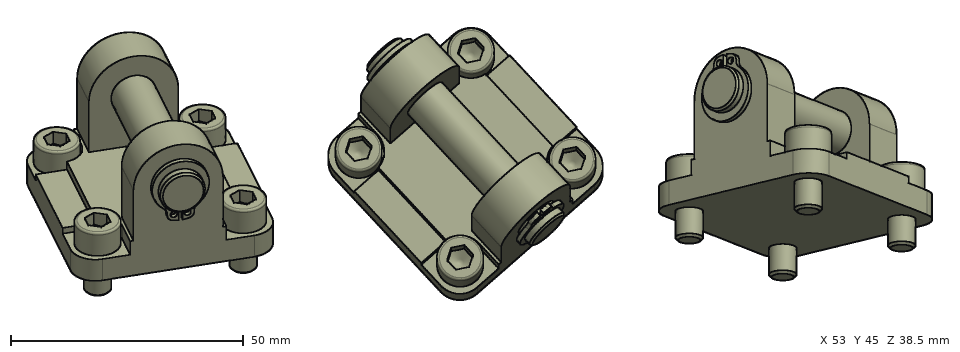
import cadquery as cq
import math

base_side = 45.0
base_top = 9.0
corner_radius = 5.5
ledge_top = 7.0
ledge_width = 7.0

bolt_spacing = 32.5
seat_height = 5.5
seat_radius = 5.5
shank_diameter = 6.0
shank_length = 12.05
shank_chamfer = 0.6
head_diameter = 10.0
head_height = 6.0
head_fillet = 0.55
socket_flats = 5.0
socket_depth = 3.0
socket_tip_angle = 120.0

lug_thickness = 9.5
lug_width = 20.0
pin_height = 22.0

pin_length = 53.0
pin_diameter = 10.0
pin_chamfer = 0.5
groove_diameter = 9.5

clip_thickness = 1.1
clip_clearance = 0.9
clip_radius = 6.35
clip_offset = 0.55
ear_half_width = 3.0
ear_tip_radius = 8.1
ear_corner_fillet = 1.5
ear_root_fillet = 1.95
ear_gap = 0.85
ear_hole_diameter = 1.5
ear_hole_spacing = 3.1
ear_hole_height = 6.4

half_base = base_side / 2
lug_radius = lug_width / 2
half_spacing = bolt_spacing / 2
clip_inner_face = half_base + clip_clearance


def x_cylinder(x_start, length, radius):
    """Cylinder along +X, centred on the pin axis at Y = Z = 0."""
    return cq.Workplane("YZ").workplane(offset=x_start).circle(radius).extrude(length)


def make_base():
    """Rounded square plate with a lowered ledge along each Y edge and a seat at each corner."""
    base = cq.Workplane("XY").rect(base_side, base_side).extrude(base_top)
    base = base.edges("|Z").fillet(corner_radius)

    ledge_center = half_base - ledge_width / 2
    ledges = (
        cq.Workplane("XY").workplane(offset=ledge_top)
        .pushPoints([(0, -ledge_center), (0, ledge_center)])
        .rect(base_side, ledge_width)
        .extrude(base_top - ledge_top)
    )
    base = base.cut(ledges)

    seat_inner = half_spacing - seat_radius
    seat_size = half_base - seat_inner
    for x_sign in (-1, 1):
        for y_sign in (-1, 1):
            seat_center = seat_inner + seat_size / 2
            seat = (
                cq.Workplane("XY").workplane(offset=seat_height)
                .center(x_sign * seat_center, y_sign * seat_center)
                .rect(seat_size, seat_size)
                .extrude(base_top - seat_height)
            )
            inner_corner = cq.NearestToPointSelector((x_sign * seat_inner, y_sign * seat_inner, base_top))
            seat = seat.edges("|Z").edges(inner_corner).fillet(seat_radius)
            base = base.cut(seat)
    return base


def make_lug(x_start):
    """Upright lug with a full-round top, rising from the level of the base underside."""
    return (
        cq.Workplane("YZ").workplane(offset=x_start)
        .moveTo(-lug_radius, 0)
        .lineTo(lug_radius, 0)
        .lineTo(lug_radius, pin_height)
        .threePointArc((0, pin_height + lug_radius), (-lug_radius, pin_height))
        .close()
        .extrude(lug_thickness)
    )


def make_bolt():
    """Socket head cap screw along Z, with the underside of its head at Z = 0."""
    shank = cq.Workplane("XY").circle(shank_diameter / 2).extrude(-shank_length)
    shank = shank.faces("<Z").chamfer(shank_chamfer)
    head = cq.Workplane("XY").circle(head_diameter / 2).extrude(head_height)
    head = head.faces(">Z").edges().fillet(head_fillet)

    socket_corner_radius = socket_flats / math.sqrt(3)
    tip_depth = socket_corner_radius / math.tan(math.radians(socket_tip_angle / 2))
    socket_floor = head_height - socket_depth
    drill = (
        cq.Workplane("XZ")
        .moveTo(0, head_height)
        .lineTo(socket_corner_radius, head_height)
        .lineTo(socket_corner_radius, socket_floor)
        .lineTo(0, socket_floor - tip_depth)
        .close()
        .revolve(360, (0, 0, 0), (0, 1, 0))
    )
    hexagon = cq.Workplane("XY").polygon(6, 2 * socket_corner_radius).extrude(head_height)
    return head.union(shank).cut(drill.intersect(hexagon))


def make_pin():
    """Chamfered pin along X with a clip groove near each end."""
    pin = x_cylinder(-pin_length / 2, pin_length, pin_diameter / 2)
    pin = pin.faces("<X or >X").chamfer(pin_chamfer)
    for groove_start in (-clip_inner_face - clip_thickness, clip_inner_face):
        groove = x_cylinder(groove_start, clip_thickness, pin_diameter)
        groove = groove.cut(x_cylinder(groove_start, clip_thickness, groove_diameter / 2))
        pin = pin.cut(groove)
    return pin


def make_clip():
    """Retaining clip for the -X end, with its two ears pointing up."""
    x_start = -clip_inner_face - clip_thickness
    plane = cq.Workplane("YZ").workplane(offset=x_start)

    ears = plane.center(0, ear_tip_radius / 2).rect(2 * ear_half_width, ear_tip_radius).extrude(clip_thickness)
    ears = ears.intersect(x_cylinder(x_start, clip_thickness, ear_tip_radius))
    ears = ears.edges("|X and (<Y or >Y)").edges(">Z").fillet(ear_corner_fillet)

    ring = x_cylinder(x_start, clip_thickness, clip_radius).translate((0, 0, -clip_offset))
    clip = ring.union(ears)
    root_height = math.sqrt(clip_radius ** 2 - ear_half_width ** 2) - clip_offset
    for y_root in (-ear_half_width, ear_half_width):
        root = cq.NearestToPointSelector((x_start + clip_thickness / 2, y_root, root_height))
        clip = clip.edges("|X").edges(root).fillet(ear_root_fillet)

    gap = plane.center(0, ear_tip_radius / 2).rect(ear_gap, ear_tip_radius).extrude(clip_thickness)
    ear_holes = (
        plane.center(0, ear_hole_height)
        .pushPoints([(-ear_hole_spacing / 2, 0), (ear_hole_spacing / 2, 0)])
        .circle(ear_hole_diameter / 2)
        .extrude(clip_thickness)
    )
    bore = x_cylinder(x_start, clip_thickness, groove_diameter / 2)
    return clip.cut(bore).cut(gap).cut(ear_holes)


result = make_base()

for lug_start in (-half_base, half_base - lug_thickness):
    result = result.union(make_lug(lug_start))

bolt = make_bolt()
for bolt_x in (-half_spacing, half_spacing):
    for bolt_y in (-half_spacing, half_spacing):
        result = result.union(bolt.translate((bolt_x, bolt_y, seat_height)))

upper_clip = make_clip()
lower_clip = upper_clip.rotate((0, 0, 0), (0, 1, 0), 180)
for piece in (make_pin(), upper_clip, lower_clip):
    result = result.union(piece.translate((0, 0, pin_height)))